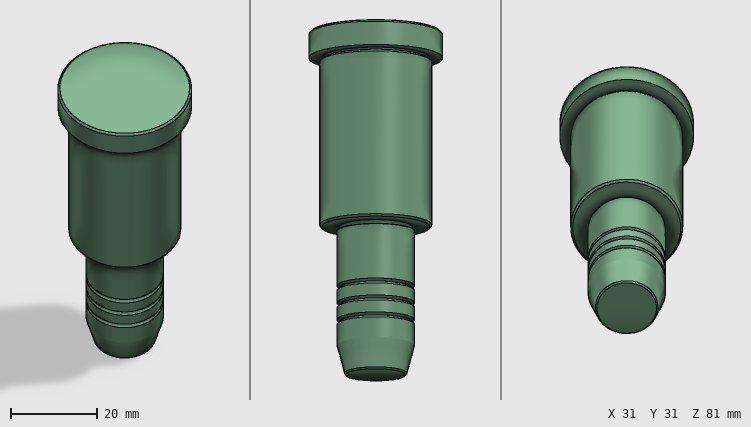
import cadquery as cq
import math

total_length = 81.0
head_diameter = 31.0
head_height = 6.0
body_diameter = 26.0
body_length = 40.0
shank_diameter = 18.0
edge_chamfer = 0.5

relief_width = 1.0
relief_depth = 0.5

groove_count = 3
groove_span = 8.0
groove_width = 1.1
groove_depth = 0.6
lowest_groove_z = 12.5

taper_length = 7.0
taper_angle = 15.0
tip_chamfer_height = 0.4
tip_chamfer_inset = 0.3

head_radius = head_diameter / 2
body_radius = body_diameter / 2
shank_radius = shank_diameter / 2
groove_pitch = groove_span / (groove_count - 1)
head_bottom_z = total_length - head_height
body_bottom_z = head_bottom_z - body_length
tip_radius = shank_radius - (taper_length - tip_chamfer_height) * math.tan(math.radians(taper_angle))


def cylinder(radius, bottom_z, top_z):
    """Round section between two heights on the Z axis."""
    return cq.Workplane("XY").workplane(offset=bottom_z).circle(radius).extrude(top_z - bottom_z)


def make_head():
    """Flange with a chamfered upper rim."""
    return cylinder(head_radius, head_bottom_z, total_length).faces(">Z").chamfer(edge_chamfer)


def make_body():
    """Large cylinder, chamfered at its shoulder and undercut with a sloped lower flank below the head."""
    profile = [
        (0, body_bottom_z),
        (body_radius - edge_chamfer, body_bottom_z),
        (body_radius, body_bottom_z + edge_chamfer),
        (body_radius, head_bottom_z - relief_width),
        (body_radius - relief_depth, head_bottom_z - relief_width / 2),
        (body_radius - relief_depth, head_bottom_z),
        (0, head_bottom_z),
    ]
    return cq.Workplane("XZ").polyline(profile).close().revolve(360, (0, 0), (0, 1))


def make_shank():
    """Slim cylinder with an undercut at the shoulder and a tapered, chamfered tip."""
    relief_bottom_z = body_bottom_z - relief_width
    profile = [
        (0, 0),
        (tip_radius - tip_chamfer_inset, 0),
        (tip_radius, tip_chamfer_height),
        (shank_radius, taper_length),
        (shank_radius, relief_bottom_z),
        (shank_radius - relief_depth, relief_bottom_z),
        (shank_radius - relief_depth, body_bottom_z),
        (0, body_bottom_z),
    ]
    return cq.Workplane("XZ").polyline(profile).close().revolve(360, (0, 0), (0, 1))


def make_groove(center_z):
    """Ring of triangular section that cuts one V-groove."""
    profile = [
        (shank_radius, center_z - groove_width / 2),
        (shank_radius - groove_depth, center_z),
        (shank_radius, center_z + groove_width / 2),
    ]
    return cq.Workplane("XZ").polyline(profile).close().revolve(360, (0, 0), (0, 1))


result = make_head().union(make_body()).union(make_shank())
for index in range(groove_count):
    result = result.cut(make_groove(lowest_groove_z + index * groove_pitch))